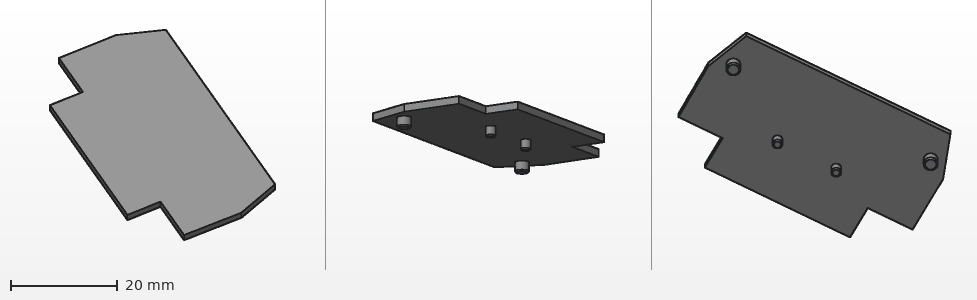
import cadquery as cq

plate_thickness = 1.5
plate_length = 50.0
plate_width = 28.0
back_edge_length = 43.5
slope_depth = 8.9
tab_length = 30.9
tab_depth = 7.0
right_side_draft = 0.15

pin_height = 2.0
pin_chamfer = 0.3
large_pin_diameter = 2.7
large_pin_spacing = 42.0
large_pin_y = 7.55
small_pin_diameter = 1.9
small_pin_spacing = 12.5
small_pin_y = -2.4


def make_plate():
    """Stepped plate with sloped back corners, standing on the XY plane."""
    half_length = plate_length / 2
    half_back = back_edge_length / 2
    half_tab = tab_length / 2
    back_y = plate_width / 2
    slope_y = back_y - slope_depth
    front_y = -plate_width / 2
    shoulder_y = front_y + tab_depth
    outline = [
        (-half_tab, front_y),
        (half_tab, front_y),
        (half_tab, shoulder_y),
        (half_length - right_side_draft, shoulder_y),
        (half_length, slope_y),
        (half_back, back_y),
        (-half_back, back_y),
        (-half_length, slope_y),
        (-half_length, shoulder_y),
        (-half_tab, shoulder_y),
    ]
    return cq.Workplane("XY").polyline(outline).close().extrude(plate_thickness)


def make_pin_pair(diameter, spacing, y):
    """Two pins with chamfered tips, hanging from the underside of the plate."""
    centers = [(-spacing / 2, y), (spacing / 2, y)]
    pins = cq.Workplane("XY").pushPoints(centers).circle(diameter / 2).extrude(-pin_height)
    return pins.faces("<Z").chamfer(pin_chamfer)


large_pins = make_pin_pair(large_pin_diameter, large_pin_spacing, large_pin_y)
small_pins = make_pin_pair(small_pin_diameter, small_pin_spacing, small_pin_y)
result = make_plate().union(large_pins).union(small_pins)